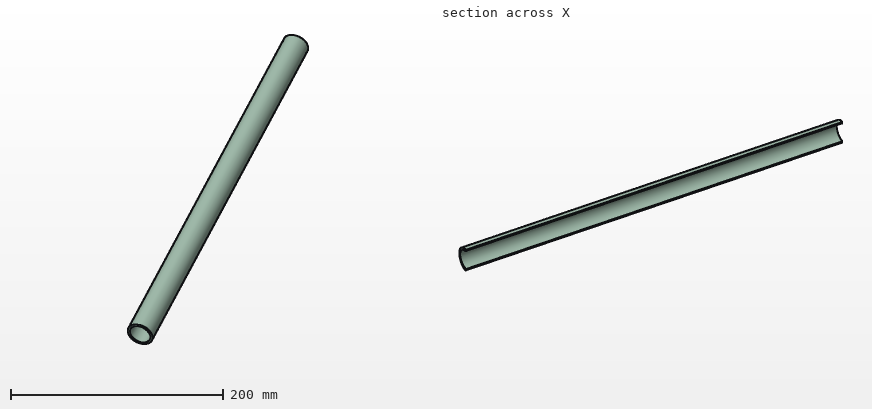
import cadquery as cq

length = 406.5
outer_diameter = 25.0
wall = 2.3
inner_diameter = outer_diameter - 2 * wall

result = (
    cq.Workplane("XZ", origin=(0, length / 2, 0))
    .circle(outer_diameter / 2)
    .circle(inner_diameter / 2)
    .extrude(length)
)